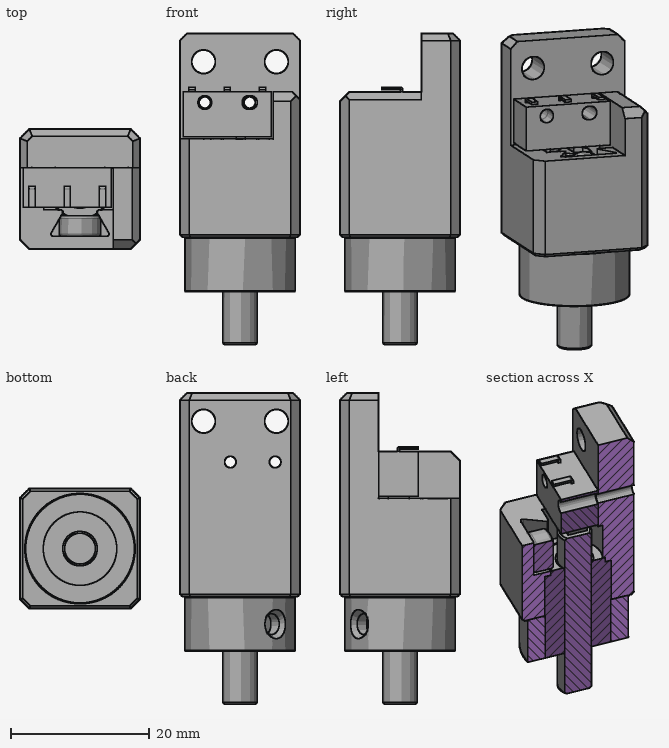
import cadquery as cq
import math

TOTAL_HEIGHT = 45.05
COLLAR_BOTTOM = 7.65
HOUSING_BOTTOM = 15.55
POCKET_FLOOR = 23.75
SEAT_LEVEL = 29.8
SWITCH_BOTTOM = 30.1
SWITCH_TOP = 36.6
SHAFT_TOP = 29.05

HOUSING_WIDTH = 17.4
HALF_WIDTH = HOUSING_WIDTH / 2
CORNER_CHAMFER = 1.35
TOP_CHAMFER = 1.05
ARM_SIDE_CHAMFER = 1.13
BASE_CHAMFER = 0.4
BACK_PLATE_FACE = 3.1
ARM_INNER_FACE = 4.8
MOUNT_HOLE_DIAMETER = 3.4
MOUNT_HOLE_OFFSET = 5.25
MOUNT_HOLE_LEVEL = 40.95
SCREW_HOLE_DIAMETER = 1.6
WELL_DIAMETER = 8.1
RECESS_LEFT = -5.23
RECESS_HALF_DEPTH = 3.0

SHAFT_DIAMETER = 5.0
SHAFT_CHAMFER = 0.25
BUSHING_DIAMETER = 10.65
BUSHING_NECK_DIAMETER = 8.8
BUSHING_NECK_HEIGHT = 0.9
BUSHING_CHAMFER = 0.15
BUSHING_BORE_CHAMFER = 0.25
COLLAR_DIAMETER = 16.0
COLLAR_CHAMFER = 0.15
SET_HOLE_DIAMETER = 3.0
SET_HOLE_MOUTH_DIAMETER = 4.2
SET_HOLE_COUNTERSINK_DEPTH = 1.1
SET_HOLE_ANGLE = 131

MAGNET_DIAMETER = 6.0
MAGNET_THICKNESS = 3.0
MAGNET_FILLET = 0.35
MAGNET_FRONT = -6.85
MAGNET_POCKET_HALF_WIDTH = 4.45
MAGNET_POCKET_ANGLE = 60
MAGNET_POCKET_FILLET = 0.35

SWITCH_LENGTH = 12.8
SWITCH_CENTER_X = -1.85
SWITCH_FRONT = -2.65
SWITCH_HOLE_DIAMETER = 2.0
SWITCH_SLOT_LENGTH = 2.2
SWITCH_HOLE_OFFSET = 3.25
SWITCH_HOLE_LEVEL = 35.05
TERMINAL_PITCH = 5.1
TERMINAL_WIDTH = 0.9
TERMINAL_THICKNESS = 0.35
TERMINAL_BEND_RADIUS = 0.35
TERMINAL_BACK = 0.4
TERMINAL_TOP = 37.25
BUTTON_LENGTH = 1.3
BUTTON_DEPTH = 2.97
BUTTON_CENTER_X = 0.15
BUTTON_CENTER_Y = 0.2


def block(x_range, y_range, z_range):
    """Axis-aligned box between the given limits."""
    size = [high - low for low, high in (x_range, y_range, z_range)]
    corner = (x_range[0], y_range[0], z_range[0])
    return cq.Workplane("XY").box(*size, centered=False).translate(corner)


def rod(diameter, bottom, top):
    """Vertical cylinder on the shaft axis."""
    return cq.Workplane("XY").workplane(offset=bottom).circle(diameter / 2).extrude(top - bottom)


def holes_along_y(points, diameter):
    """Cylinders running through the whole housing along Y at the given (x, z) points."""
    plane = cq.Workplane("XZ").pushPoints(points)
    return plane.circle(diameter / 2).extrude(HALF_WIDTH, both=True)


switch_hole_points = [
    (SWITCH_CENTER_X - SWITCH_HOLE_OFFSET, SWITCH_HOLE_LEVEL),
    (SWITCH_CENTER_X + SWITCH_HOLE_OFFSET, SWITCH_HOLE_LEVEL),
]


def make_bushing_blank():
    """Bushing without its bore: a cylinder with a narrower neck on top."""
    shoulder = POCKET_FLOOR - BUSHING_NECK_HEIGHT
    body = rod(BUSHING_DIAMETER, COLLAR_BOTTOM, shoulder)
    return body.union(rod(BUSHING_NECK_DIAMETER, shoulder, POCKET_FLOOR))


def make_housing_blank():
    """Back plate with a lower square body, its outer edges chamfered."""
    full_y = (-HALF_WIDTH, HALF_WIDTH)
    plate = block((-HALF_WIDTH, HALF_WIDTH), full_y, (HOUSING_BOTTOM, TOTAL_HEIGHT))
    plate = plate.edges("|Z").chamfer(CORNER_CHAMFER)
    plate = plate.faces("<Z").edges().chamfer(BASE_CHAMFER)
    plate = plate.faces(">Z").edges().chamfer(TOP_CHAMFER)
    front_y = (-HALF_WIDTH, BACK_PLATE_FACE)
    return plate.cut(block((-HALF_WIDTH, HALF_WIDTH), front_y, (SEAT_LEVEL, TOTAL_HEIGHT)))


def make_arm():
    """Upright wall beside the switch, chamfered at its outer and front top edges."""
    arm = block(
        (ARM_INNER_FACE, HALF_WIDTH), (-HALF_WIDTH, BACK_PLATE_FACE), (SEAT_LEVEL, SWITCH_TOP)
    )
    arm = arm.edges("|Z and >X and <Y").chamfer(CORNER_CHAMFER)
    arm = arm.faces(">Z").edges("<Y").chamfer(CORNER_CHAMFER)
    return arm.faces(">Z").edges(">X").chamfer(ARM_SIDE_CHAMFER)


def make_magnet_pocket():
    """Pocket that widens toward the front, where its corners are rounded."""
    apex_y = MAGNET_FRONT + MAGNET_POCKET_HALF_WIDTH * math.tan(math.radians(MAGNET_POCKET_ANGLE))
    outline = cq.Workplane("XY").workplane(offset=POCKET_FLOOR).polyline(
        [
            (-MAGNET_POCKET_HALF_WIDTH, MAGNET_FRONT),
            (MAGNET_POCKET_HALF_WIDTH, MAGNET_FRONT),
            (0, apex_y),
        ]
    )
    pocket = outline.close().extrude(SEAT_LEVEL - POCKET_FLOOR)
    return pocket.edges("|Z and <Y").fillet(MAGNET_POCKET_FILLET)


def make_housing():
    """Housing blank with its arm, switch recess, magnet seat, bushing bore and screw holes."""
    recess = block(
        (RECESS_LEFT, ARM_INNER_FACE),
        (-RECESS_HALF_DEPTH, RECESS_HALF_DEPTH),
        (POCKET_FLOOR, SEAT_LEVEL),
    )
    mount_points = [(side * MOUNT_HOLE_OFFSET, MOUNT_HOLE_LEVEL) for side in (-1, 1)]
    return (
        make_housing_blank()
        .union(make_arm())
        .cut(recess)
        .cut(make_magnet_pocket())
        .cut(make_magnet())
        .cut(rod(WELL_DIAMETER, POCKET_FLOOR, SEAT_LEVEL))
        .cut(make_bushing_blank())
        .cut(holes_along_y(mount_points, MOUNT_HOLE_DIAMETER))
        .cut(holes_along_y(switch_hole_points, SCREW_HOLE_DIAMETER))
    )


def make_shaft():
    return rod(SHAFT_DIAMETER, 0, SHAFT_TOP).edges().chamfer(SHAFT_CHAMFER)


def make_bushing():
    """Sleeve around the shaft, its neck chamfered at the top inside and outside."""
    bushing = make_bushing_blank().cut(rod(SHAFT_DIAMETER, COLLAR_BOTTOM, POCKET_FLOOR))
    neck_rim = bushing.faces(">Z").edges(cq.selectors.RadiusNthSelector(1))
    bushing = neck_rim.chamfer(BUSHING_CHAMFER)
    bore_rim = bushing.faces(">Z").edges(cq.selectors.RadiusNthSelector(0))
    return bore_rim.chamfer(BUSHING_BORE_CHAMFER)


def make_set_hole():
    """Radial hole from the shaft axis outward, countersunk at the collar surface."""
    radius = COLLAR_DIAMETER / 2
    hole_radius = SET_HOLE_DIAMETER / 2
    mouth_radius = SET_HOLE_MOUTH_DIAMETER / 2
    countersink_start = radius - SET_HOLE_COUNTERSINK_DEPTH
    profile = cq.Workplane("XZ").polyline(
        [
            (0, 0),
            (radius, 0),
            (radius, mouth_radius),
            (countersink_start, hole_radius),
            (0, hole_radius),
        ]
    )
    hole = profile.close().revolve(360, (0, 0), (1, 0))
    middle = (COLLAR_BOTTOM + HOUSING_BOTTOM) / 2
    return hole.rotate((0, 0, 0), (0, 0, 1), SET_HOLE_ANGLE).translate((0, 0, middle))


def make_collar():
    collar = rod(COLLAR_DIAMETER, COLLAR_BOTTOM, HOUSING_BOTTOM)
    collar = collar.edges().chamfer(COLLAR_CHAMFER)
    return collar.cut(rod(BUSHING_DIAMETER, COLLAR_BOTTOM, HOUSING_BOTTOM)).cut(make_set_hole())


def make_magnet():
    """Disc standing on the pocket floor, its axis along Y and its front against the pocket wall."""
    plane = cq.Workplane("XZ", origin=(0, MAGNET_FRONT, POCKET_FLOOR + MAGNET_DIAMETER / 2))
    magnet = plane.circle(MAGNET_DIAMETER / 2).extrude(-MAGNET_THICKNESS)
    return magnet.edges().fillet(MAGNET_FILLET)


def make_terminal(center_x):
    """Flat strip bent forward over the switch case."""
    half_width = TERMINAL_WIDTH / 2
    x_range = (center_x - half_width, center_x + half_width)
    leg_front = TERMINAL_BACK - TERMINAL_THICKNESS
    strip_bottom = TERMINAL_TOP - TERMINAL_THICKNESS
    leg = block(x_range, (leg_front, TERMINAL_BACK), (SWITCH_TOP, TERMINAL_TOP))
    strip = block(x_range, (SWITCH_FRONT, TERMINAL_BACK), (strip_bottom, TERMINAL_TOP))
    return leg.union(strip).edges("|X and >Z and >Y").fillet(TERMINAL_BEND_RADIUS)


def make_switch():
    half_length = SWITCH_LENGTH / 2
    switch = block(
        (SWITCH_CENTER_X - half_length, SWITCH_CENTER_X + half_length),
        (SWITCH_FRONT, BACK_PLATE_FACE),
        (SWITCH_BOTTOM, SWITCH_TOP),
    )
    round_point, slot_point = switch_hole_points
    slot = cq.Workplane("XZ").pushPoints([slot_point])
    slot = slot.slot2D(SWITCH_SLOT_LENGTH, SWITCH_HOLE_DIAMETER).extrude(HALF_WIDTH, both=True)
    switch = switch.cut(holes_along_y([round_point], SWITCH_HOLE_DIAMETER)).cut(slot)
    for step in (-1, 0, 1):
        switch = switch.union(make_terminal(SWITCH_CENTER_X + step * TERMINAL_PITCH))
    return switch


def make_button():
    """Plunger between the switch case and the end of the shaft."""
    half_length = BUTTON_LENGTH / 2
    half_depth = BUTTON_DEPTH / 2
    return block(
        (BUTTON_CENTER_X - half_length, BUTTON_CENTER_X + half_length),
        (BUTTON_CENTER_Y - half_depth, BUTTON_CENTER_Y + half_depth),
        (SHAFT_TOP, SWITCH_BOTTOM),
    )


housing = make_housing()
shaft = make_shaft()
bushing = make_bushing()
collar = make_collar()
magnet = make_magnet()
switch = make_switch()
button = make_button()

result = cq.Compound.makeCompound(
    [
        housing.val(),
        shaft.val(),
        bushing.val(),
        collar.val(),
        magnet.val(),
        switch.val(),
        button.val(),
    ]
)